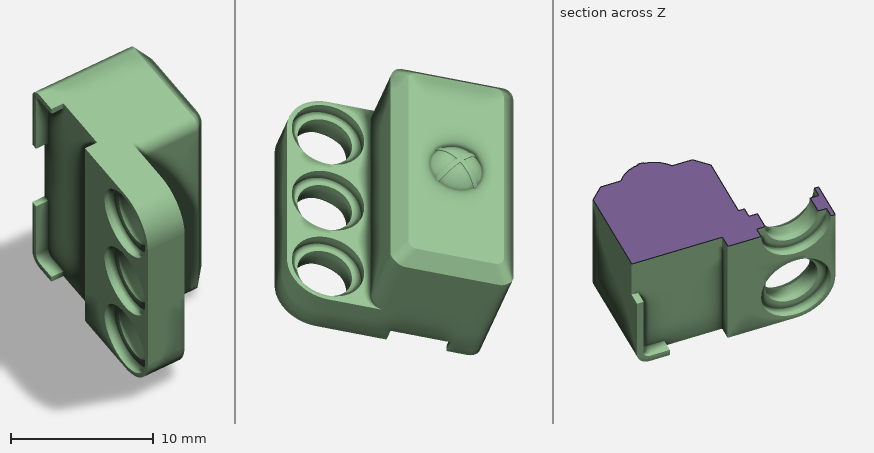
import cadquery as cq
import math

block_width = 9.0
block_depth = 9.0
height = 18.0
block_chamfer = 1.0
block_fillet = 1.0
envelope_margin = 2.0
block_middle_x = block_width / 2
middle_z = height / 2

total_width = 15.1
plate_thickness = 3.05
plate_corner_radius = 3.0

hole_diameter = 4.0
counterbore_diameter = 5.3
counterbore_depth = 0.8
hole_spacing = 6.0
hole_x = total_width - plate_corner_radius

recess_depth = 1.0
recess_end_x = 6.9
rim_thickness = 0.5
rim_end_x = 2.5
rim_gap_height = 6.0

dome_base_radius = 1.95
dome_rise = 1.0
rib_rise = 0.08
rib_width = 0.33
rib_angles = (45, -45)

dome_sphere_radius = (dome_base_radius**2 + dome_rise**2) / (2 * dome_rise)
dome_center_y = block_depth + dome_rise - dome_sphere_radius


def box(x_range, y_range, z_range):
    """Axis-aligned box between the given limits."""
    sizes = [high - low for low, high in (x_range, y_range, z_range)]
    corner = (x_range[0], y_range[0], z_range[0])
    return cq.Workplane("XY").box(*sizes, centered=False).translate(corner)


def along_y(x, z, diameter, start_y, length):
    """Cylinder parallel to Y, growing toward +Y from start_y."""
    axis = cq.Vector(0, 1, 0)
    return cq.Solid.makeCylinder(diameter / 2, length, cq.Vector(x, start_y, z), axis)


def make_block():
    """Block with rounded corner edges and a chamfered +Y face whose miter edges are rounded.

    The chamfer is cut on an oversized envelope, so that its rounded miters run straight
    through the rounded corners of the block.
    """
    block = box((0, block_width), (0, block_depth), (0, height))
    block = block.edges("|Y").fillet(block_fillet)
    envelope = box(
        (-envelope_margin, block_width + envelope_margin),
        (0, block_depth),
        (-envelope_margin, height + envelope_margin),
    )
    envelope = envelope.faces(">Y").chamfer(block_chamfer + envelope_margin)
    envelope = envelope.edges("not (|Y or #Y)").fillet(block_fillet)
    return block.intersect(envelope)


def make_plate():
    """Plate reaching out from the block, its two outer corners rounded."""
    plate = box((block_middle_x, total_width), (0, plate_thickness), (0, height))
    return plate.edges("|Y and >X").fillet(plate_corner_radius)


def make_recess():
    """Recess leaving a rim around the block end, with a gap in the middle of the rim."""
    pocket = box(
        (rim_thickness, recess_end_x),
        (0, recess_depth),
        (rim_thickness, height - rim_thickness),
    )
    pocket = pocket.edges("|Y and <X").fillet(block_fillet - rim_thickness)
    cross_channel = box((rim_end_x, recess_end_x), (0, recess_depth), (0, height))
    rim_gap = box(
        (0, recess_end_x),
        (0, recess_depth),
        (middle_z - rim_gap_height / 2, middle_z + rim_gap_height / 2),
    )
    return pocket.union(cross_channel).union(rim_gap)


def cut_holes(body):
    """Row of three through holes with a counterbore at each end."""
    for row in (-1, 0, 1):
        z = middle_z + row * hole_spacing
        body = body.cut(along_y(hole_x, z, hole_diameter, 0, plate_thickness))
        for start_y in (0, plate_thickness - counterbore_depth):
            body = body.cut(along_y(hole_x, z, counterbore_diameter, start_y, counterbore_depth))
    return body


def spherical_cap(sphere_radius):
    """Part of a ball, concentric with the lens surface, that stands above the +Y face."""
    base_height = block_depth - dome_center_y
    base_radius = math.sqrt(sphere_radius**2 - base_height**2)
    middle_angle = math.acos(base_height / sphere_radius) / 2
    arc_middle = (
        sphere_radius * math.sin(middle_angle),
        sphere_radius * math.cos(middle_angle) - base_height,
    )
    top = (0, sphere_radius - base_height)
    return (
        cq.Workplane("ZY", origin=(block_middle_x, block_depth, middle_z))
        .lineTo(base_radius, 0)
        .threePointArc(arc_middle, top)
        .close()
        .revolve(360, (0, 0), (0, 1))
    )


def make_lens():
    """Dome on the +Y face with two raised ribs crossing at its top."""
    lens = spherical_cap(dome_sphere_radius)
    for angle in rib_angles:
        slab = cq.Workplane("XY").box(block_width, block_depth, rib_width)
        slab = slab.rotate((0, 0, 0), (0, 1, 0), angle)
        slab = slab.translate((block_middle_x, block_depth, middle_z))
        rib = spherical_cap(dome_sphere_radius + rib_rise).intersect(slab)
        lens = lens.union(rib)
    return lens


body = make_block().union(make_plate()).cut(make_recess())
body = cut_holes(body)
result = body.union(make_lens())